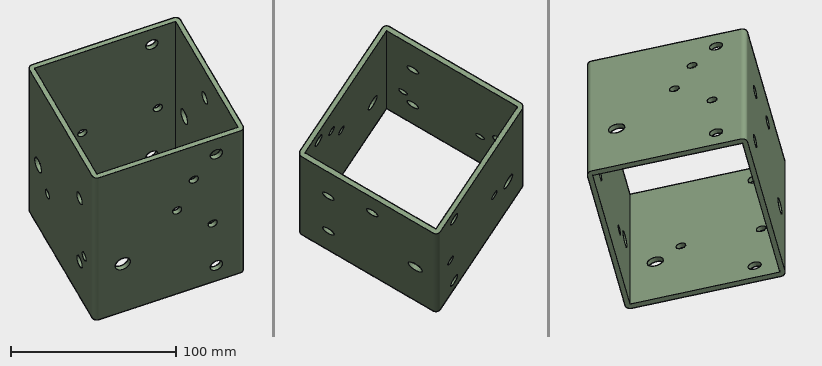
import cadquery as cq

height = 130.0
side = 100.0
wall = 3.2
corner_radius = 3.2

small_hole = 6.0
medium_hole = 8.0
large_hole = 10.0

through_y_holes = [
    (78.0, 90.0, medium_hole),
    (78.0, 32.0, medium_hole),
    (16.0, 56.0, large_hole),
]
through_x_holes = [
    (81.0, 116.0, medium_hole),
    (81.0, 14.0, medium_hole),
    (19.0, 44.0, large_hole),
]

front_wall_holes = [
    (30.0, 44.0, small_hole),
    (85.0, 44.0, small_hole),
]
back_wall_holes = [
    (46.7, 105.0, medium_hole),
]
left_wall_holes = [
    (85.0, 56.0, small_hole),
    (35.0, 56.0, small_hole),
]
right_wall_holes = [
    (66.0, 99.5, small_hole),
    (78.5, 53.5, small_hole),
    (55.0, 76.3, small_hole),
]


def square_tube():
    outer = cq.Workplane("XY").box(side, side, height, centered=False)
    outer = outer.edges("|Z").fillet(corner_radius)
    bore_side = side - 2 * wall
    bore = cq.Workplane("XY").box(bore_side, bore_side, height, centered=False)
    return outer.cut(bore.translate((wall, wall, 0)))


def drill_along_x(body, holes, start, depth):
    """Drill each hole toward +X, beginning at X = start."""
    for y, z, diameter in holes:
        drill = cq.Solid.makeCylinder(diameter / 2, depth, cq.Vector(start, y, z), cq.Vector(1, 0, 0))
        body = body.cut(cq.Workplane(drill))
    return body


def drill_along_y(body, holes, start, depth):
    """Drill each hole toward +Y, beginning at Y = start."""
    for x, z, diameter in holes:
        drill = cq.Solid.makeCylinder(diameter / 2, depth, cq.Vector(x, start, z), cq.Vector(0, 1, 0))
        body = body.cut(cq.Workplane(drill))
    return body


far_wall = side - wall

result = square_tube()
result = drill_along_y(result, through_y_holes, 0, side)
result = drill_along_y(result, front_wall_holes, 0, wall)
result = drill_along_y(result, back_wall_holes, far_wall, wall)
result = drill_along_x(result, through_x_holes, 0, side)
result = drill_along_x(result, left_wall_holes, 0, wall)
result = drill_along_x(result, right_wall_holes, far_wall, wall)